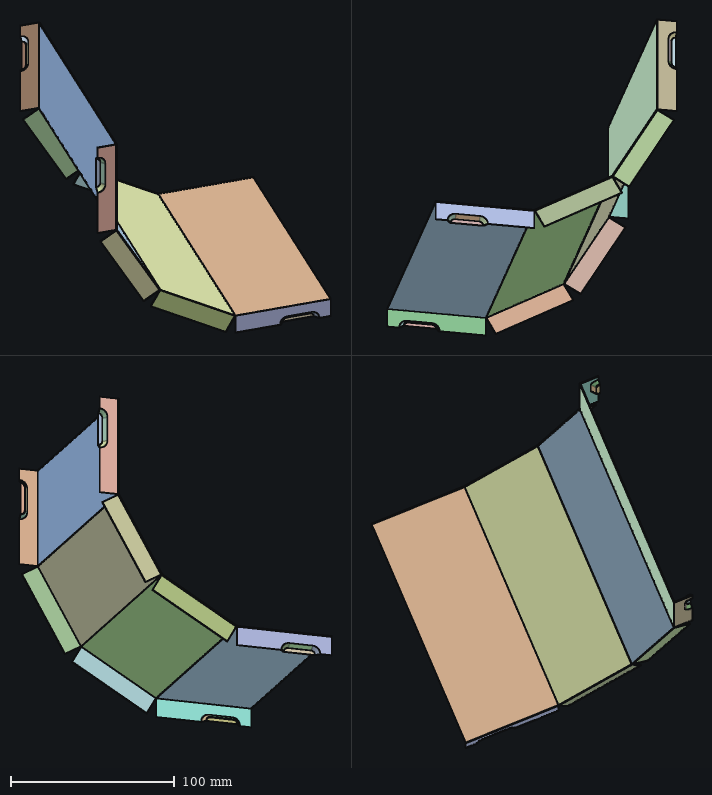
import cadquery as cq
import math

size = 150.0
sheet = 0.6
edge_radius = 0.2
flange_depth = 12.5
end_panel = 61.4
bend_angle = 30.0
dimple_offset = 20.0
dimple_straight = 15.0
dimple_rim_radius = 4.8
dimple_floor_radius = 2.5
dimple_depth = 3.0
dimple_rim_rounding = 0.5

bend = size - end_panel
steep = math.radians(90 - bend_angle)
slanted_panel = (bend - flange_depth) / (math.sin(steep) + math.cos(steep))
middle = flange_depth + slanted_panel * math.cos(steep)
corners = [
    (flange_depth, size),
    (flange_depth, bend),
    (middle, middle),
    (bend, flange_depth),
    (size, flange_depth),
]


def flanged_panel(start, end):
    """One flat panel from start to end with a flange folded back along both sides."""
    length = math.dist(start, end)
    along = (0, (end[0] - start[0]) / length, (end[1] - start[1]) / length)
    plane = cq.Plane(origin=(0, *start), xDir=(1, 0, 0), normal=along)
    blank = (
        cq.Workplane(plane)
        .moveTo(0, flange_depth)
        .lineTo(0, edge_radius)
        .radiusArc((edge_radius, 0), edge_radius)
        .lineTo(size - edge_radius, 0)
        .radiusArc((size, edge_radius), edge_radius)
        .lineTo(size, flange_depth)
        .close()
        .extrude(length)
    )
    hollow = (
        cq.Workplane(plane)
        .moveTo(sheet, sheet)
        .lineTo(size - sheet, sheet)
        .lineTo(size - sheet, flange_depth)
        .lineTo(sheet, flange_depth)
        .close()
        .extrude(length)
    )
    return blank.cut(hollow)


def folded_sheet():
    """Continuous sheet between the rounded edges, mitred at the folds so that it joins the panels."""
    half_bend = math.radians(bend_angle / 2)
    miter = sheet / math.cos(half_bend)
    convex = [(flange_depth - sheet, size)]
    for number, (y, z) in enumerate(corners[1:-1]):
        angle = (2 * number + 1) * half_bend
        convex.append((y - miter * math.cos(angle), z - miter * math.sin(angle)))
    convex.append((size, flange_depth - sheet))
    outline = corners + convex[::-1]
    return (
        cq.Workplane("YZ", origin=(edge_radius, 0, 0))
        .polyline(outline)
        .close()
        .extrude(size - 2 * edge_radius)
    )


def stadium(x, y, z, radius, angle):
    """Stadium outline normal to X, its long axis turned by angle from Y towards Z."""
    length = dimple_straight + 2 * radius
    return cq.Workplane("YZ", origin=(x, y, z)).slot2D(length, 2 * radius, angle).val()


def tapered_plug(y, z, angle, rim_radius, floor_radius, depth):
    """Stadium plug narrowing from the flange face at x = 0 to the given depth."""
    rim = stadium(0, y, z, rim_radius, angle)
    floor = stadium(depth, y, z, floor_radius, angle)
    return cq.Workplane(cq.Solid.makeLoft([rim, floor], True))


def add_dimple(part, y, z, angle):
    """Press half a stadium dimple, open at the flange edge, into both side flanges."""
    taper = (dimple_rim_radius - dimple_floor_radius) / dimple_depth
    skin_rim_radius = dimple_rim_radius + sheet * math.hypot(1, taper)
    skin_depth = dimple_depth + sheet
    skin_floor_radius = skin_rim_radius - taper * skin_depth
    envelope = cq.Workplane().box(size, size, size, centered=False)
    skin = tapered_plug(y, z, angle, skin_rim_radius, skin_floor_radius, skin_depth).intersect(envelope)
    recess = tapered_plug(y, z, angle, dimple_rim_radius, dimple_floor_radius, dimple_depth)
    center = (size / 2, 0, 0)
    part = part.union(skin).union(skin.mirror("YZ", center))
    part = part.cut(recess).cut(recess.mirror("YZ", center))
    reach = dimple_straight / 2 + dimple_rim_radius + sheet
    for x in (0, size):
        rim_edges = cq.selectors.BoxSelector(
            (x - sheet / 2, y - reach, z - reach),
            (x + sheet / 2, y + reach, z + reach),
            boundingbox=True,
        )
        part = part.edges(rim_edges).fillet(dimple_rim_rounding)
    return part


result = folded_sheet()
for start, end in zip(corners, corners[1:]):
    result = result.union(flanged_panel(start, end))

result = add_dimple(result, 0, size - dimple_offset, 90)
result = add_dimple(result, size - dimple_offset, 0, 0)